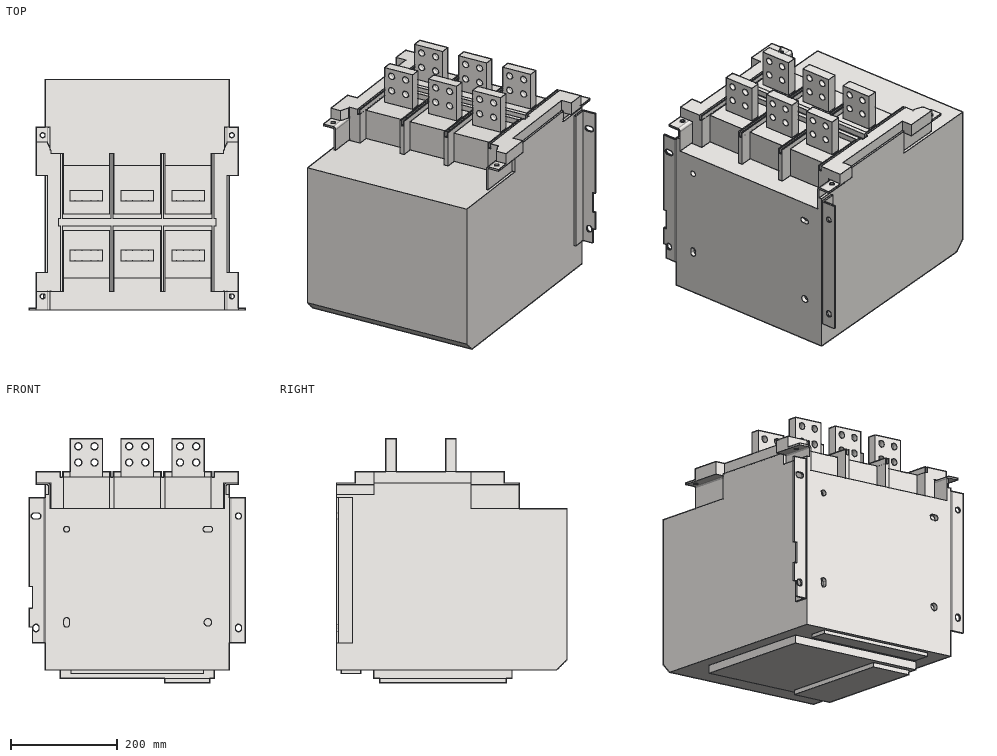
import cadquery as cq


casing_width = 345.0
casing_depth = 432.0
casing_height = 302.5
bottom_back_chamfer = 19.2
sheet = 3.5
side_wall_top = 351.0

tab_reach = 189.5
tab_leg_inside = 163.0
tab_bend_radius = 5.5
front_tab_end = 70.5
back_tab_start = 252.0
back_tab_end = 342.5
front_strip_top = 328.5
tab_hole_diameter = 8.5
tab_hole_x = 177.2
tab_hole_front_inset = 25.5
tab_hole_back_inset = 15.0

block_top = 372.0
block_front = 35.0
block_back = 293.5
block_width = 322.5
block_upper_width = 337.0
wing_back = 314.5
wing_corner_y = 297.2

phase_pitch = 95.3
phase_positions = [-phase_pitch, 0, phase_pitch]
bay_width = 86.5
bay_floor = 361.5
bay_front = 59.5
bay_back = 271.0
slot_width = 3.5
slot_spacing = 95.0
slot_positions = [-1.5 * slot_spacing, -0.5 * slot_spacing, 0.5 * slot_spacing, 1.5 * slot_spacing]
channel_length = 295.5
channel_front = 157.0
channel_back = 171.8
rail_width = 8.2

busbar_width = 61.0
busbar_thickness = 19.5
busbar_top = 433.5
busbar_rows = [102.0, 214.5]
busbar_hole_diameter = 13.0
busbar_hole_pitch = 30.0
busbar_hole_edge = 14.5

overall_height = 458.0
underside = busbar_top - overall_height
base_plate_width = 288.5
base_plate_front = 69.5
base_plate_back = 329.0
base_plate_bottom = -15.5
lower_plate_left = 51.5
lower_plate_right = 136.0
lower_plate_front = 80.5
lower_plate_back = 318.5
foot_width = 247.5
foot_front = 8.5
foot_back = 46.0
foot_bottom = -7.0

front_hole_x = 132.5
front_hole_low = 89.5
front_hole_high = 264.0
front_hole_depth = 9.0
small_hole = 11.0
large_hole = 14.0
long_slot = 18.0

bracket_reach = 202.5
bracket_bottom = 51.0
bracket_top = 323.0
bracket_leg_depth = 30.0
bracket_hole_x = 189.5
bracket_hole_low = 79.0
bracket_hole_high = 288.5
short_slot = 13.7
relief_depth = 6.0
relief_bottom = 116.0
relief_top = 156.0
corner_relief_top = 80.5


def block(x_range, y_range, z_range):
    """Box between two X, two Y and two Z limits."""
    x_size = x_range[1] - x_range[0]
    y_size = y_range[1] - y_range[0]
    z_size = z_range[1] - z_range[0]
    corner = (x_range[0], y_range[0], z_range[0])
    return cq.Workplane("XY").box(x_size, y_size, z_size, centered=False).translate(corner)


def centred_block(width, y_range, z_range):
    """Box centred on X = 0."""
    return block((-width / 2, width / 2), y_range, z_range)


def both_sides(right_half):
    """A feature together with its mirror image across X = 0."""
    return right_half.union(right_half.mirror("YZ"))


def front_opening(x, z, depth, width, height):
    """Cutter for a hole or straight slot, going back from the front face."""
    plane = cq.Workplane("XZ").center(x, z)
    if width == height:
        outline = plane.circle(width / 2)
    elif width > height:
        outline = plane.slot2D(width, height)
    else:
        outline = plane.slot2D(height, width, 90)
    return outline.extrude(-depth)


def make_casing():
    """Box with a chamfered lower back edge and raised side walls between the tabs."""
    body = centred_block(casing_width, (0, casing_depth), (0, casing_height))
    body = body.faces(">Y").edges("<Z").chamfer(bottom_back_chamfer)
    raised_walls = centred_block(
        casing_width, (front_tab_end, back_tab_start), (casing_height, side_wall_top)
    )
    corner_strip = block(
        (tab_leg_inside, casing_width / 2), (0, front_tab_end), (casing_height, front_strip_top)
    )
    return body.union(raised_walls).union(both_sides(corner_strip))


def make_tab(y_start, y_end, hole_y):
    """Right-hand sheet tab: a leg standing on the casing, bent outwards and drilled."""
    y_range = (y_start, y_end)
    outer = block((tab_leg_inside, tab_reach), y_range, (casing_height, side_wall_top))
    outer = outer.edges("<X and >Z").fillet(tab_bend_radius)
    inner = block((tab_leg_inside + sheet, tab_reach), y_range, (casing_height, side_wall_top - sheet))
    inner = inner.edges("<X and >Z").fillet(tab_bend_radius - sheet)
    hole = (
        cq.Workplane("XY", origin=(tab_hole_x, hole_y, side_wall_top))
        .circle(tab_hole_diameter / 2)
        .extrude(-sheet)
    )
    return outer.cut(inner).cut(hole)


def make_wing():
    """Right half of the upper block: waisted between the tabs, with a slanted back corner."""
    waist = block_upper_width / 2
    outline = [
        (0, block_front),
        (tab_reach, block_front),
        (tab_reach, front_tab_end),
        (waist, front_tab_end),
        (waist, back_tab_start),
        (tab_reach, back_tab_start),
        (tab_reach, wing_back),
        (waist, wing_back),
        (block_width / 2, wing_corner_y),
        (block_width / 2, block_back),
        (0, block_back),
    ]
    upper = cq.Workplane("XY", origin=(0, 0, side_wall_top)).polyline(outline).close()
    return upper.extrude(block_top - side_wall_top)


def make_bay_cutter(x):
    """Space cut away above and at both ends of one phase, leaving the two rails standing."""
    x_range = (x - bay_width / 2, x + bay_width / 2)
    front = block(x_range, (block_front, bay_front), (casing_height, block_top))
    back = block(x_range, (bay_back, block_back), (casing_height, block_top))
    front_top = block(x_range, (block_front, channel_front - rail_width), (bay_floor, block_top))
    back_top = block(x_range, (channel_back + rail_width, block_back), (bay_floor, block_top))
    return front.union(back).union(front_top).union(back_top)


def make_terminal_block():
    """Insulating block with three bays, four slots along it and one channel across it."""
    body = centred_block(block_width, (block_front, block_back), (casing_height, side_wall_top))
    body = body.union(both_sides(make_wing()))
    for x in phase_positions:
        body = body.cut(make_bay_cutter(x))
    for x in slot_positions:
        x_range = (x - slot_width / 2, x + slot_width / 2)
        body = body.cut(block(x_range, (block_front, block_back), (bay_floor, block_top)))
    channel = centred_block(channel_length, (channel_front, channel_back), (bay_floor, block_top))
    return body.cut(channel)


def make_busbar(x, y):
    """Upright terminal with a square pattern of four holes."""
    bar = block(
        (x - busbar_width / 2, x + busbar_width / 2),
        (y - busbar_thickness / 2, y + busbar_thickness / 2),
        (bay_floor, busbar_top),
    )
    pattern_middle = busbar_top - busbar_hole_edge - busbar_hole_pitch / 2
    holes = (
        cq.Workplane("XZ", origin=(x, y, pattern_middle))
        .rarray(busbar_hole_pitch, busbar_hole_pitch, 2, 2)
        .circle(busbar_hole_diameter / 2)
        .extrude(busbar_thickness, both=True)
    )
    return bar.cut(holes)


def make_underside():
    """Stepped plates and the front foot below the casing."""
    base_plate = centred_block(
        base_plate_width, (base_plate_front, base_plate_back), (base_plate_bottom, 0)
    )
    lower_plate = block(
        (lower_plate_left, lower_plate_right),
        (lower_plate_front, lower_plate_back),
        (underside, base_plate_bottom),
    )
    foot = centred_block(foot_width, (foot_front, foot_back), (foot_bottom, 0))
    return base_plate.union(lower_plate).union(foot)


def make_housing():
    """Casing, tabs, terminal block, busbars and underside as one body."""
    body = make_casing().union(make_terminal_block()).union(make_underside())
    front_tab = make_tab(0, front_tab_end, tab_hole_front_inset)
    back_tab = make_tab(back_tab_start, back_tab_end, back_tab_end - tab_hole_back_inset)
    body = body.union(both_sides(front_tab)).union(both_sides(back_tab))
    for x in phase_positions:
        for y in busbar_rows:
            body = body.union(make_busbar(x, y))
    front_openings = [
        (-front_hole_x, front_hole_high, small_hole, small_hole),
        (front_hole_x, front_hole_high, long_slot, small_hole),
        (-front_hole_x, front_hole_low, small_hole, long_slot),
        (front_hole_x, front_hole_low, large_hole, large_hole),
    ]
    for x, z, width, height in front_openings:
        body = body.cut(front_opening(x, z, front_hole_depth, width, height))
    return body


def make_bracket(upper_hole_width):
    """Right-hand angle bracket: a leg against the casing side, bent into a front flange."""
    leg_face = casing_width / 2
    z_range = (bracket_bottom, bracket_top)
    outer = block((leg_face, bracket_reach), (0, bracket_leg_depth), z_range)
    outer = outer.edges("<X and <Y").fillet(sheet)
    inner = block((leg_face + sheet, bracket_reach), (sheet, bracket_leg_depth), z_range)
    upper_hole = front_opening(bracket_hole_x, bracket_hole_high, sheet, upper_hole_width, small_hole)
    lower_hole = front_opening(bracket_hole_x, bracket_hole_low, sheet, small_hole, short_slot)
    return outer.cut(inner).cut(upper_hole).cut(lower_hole)


def make_left_bracket():
    """Mirrored bracket with a slotted upper hole and two cut-backs in its free edge."""
    bracket = make_bracket(long_slot).mirror("YZ")
    edge_range = (-bracket_reach, -bracket_reach + relief_depth)
    relief = block(edge_range, (0, sheet), (relief_bottom, relief_top))
    corner_relief = block(edge_range, (0, sheet), (bracket_bottom, corner_relief_top))
    return bracket.cut(relief).cut(corner_relief)


housing = make_housing()
right_bracket = make_bracket(small_hole)
left_bracket = make_left_bracket()

result = cq.Compound.makeCompound([housing.val(), right_bracket.val(), left_bracket.val()])